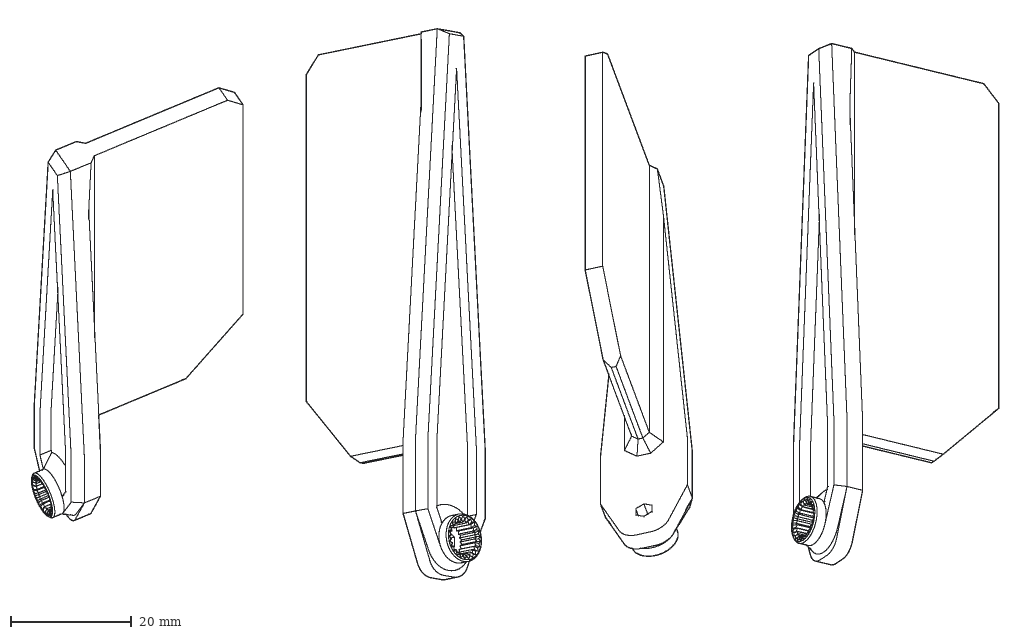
import cadquery as cq
import math

LENGTH = 92.0
PAD_HALF_WIDTH = 15.0 / 2
TIP_HALF_WIDTH = 2.6
KNEE_Z = 10.0
TAPER_Z = 22.1
BASE_THICKNESS = 3.0
FRONT_THICKNESS = 1.9
CHAMFER_INSET = 1.0
PAD_FRONT_Y = -(BASE_THICKNESS + FRONT_THICKNESS)
CHAMFER_ANGLE = 45

PIVOT_Z = 6.0
FOOT_HALF_WIDTH = 3.4
FOOT_FILLET = 3.3
BOSS_RADIUS = 8.0 / 2
BOSS_HEIGHT = 2.0
FACE_Y = PAD_FRONT_Y - BOSS_HEIGHT
HEX_SIDES = 6
CORNER_ANGLE = 90
HEX_DIAMETER = 3.2

POCKET_INSET = 3.0
POCKET_DEPTH = 2.1

SPLINE_TEETH = 25
SPLINE_ROOT_RADIUS = 3.1
SPLINE_TIP_RADIUS = 2.7
SOCKET_DEPTH = 4.05
MOUTH_DEPTH = 0.5
MOUTH_FLARE = 0.5
RIM_CHAMFER = 0.3

FIN_THICKNESS = 3.0
FIN_DEPTH = 30.0
FIN_BOTTOM_Z = TAPER_Z
FIN_EDGE_CHAMFER = 1.1
FIN_TOP_CORNER = 2.9
FIN_BOTTOM_CORNER = 11.9
FLARE_WIDTH = 1.8
FLARE_DEPTH = 2.0


def xz_plane(y):
    """Plane facing -Y at the given Y, with local x along X and local y along Z."""
    return cq.Workplane("XZ", origin=(0, y, 0))


def tangent_outline(y, inset):
    """Pad outline moved inwards by inset, its flanks tangent to a round end about the pivot."""
    end_radius = BOSS_RADIUS + CHAMFER_INSET - inset
    knee_rise = KNEE_Z - PIVOT_Z
    reach = math.hypot(PAD_HALF_WIDTH, knee_rise)
    elevation = math.atan2(knee_rise, PAD_HALF_WIDTH)
    flank = math.acos((BOSS_RADIUS + CHAMFER_INSET) / reach) - elevation
    taper = math.atan2(PAD_HALF_WIDTH - TIP_HALF_WIDTH, LENGTH - TAPER_Z)

    side = PAD_HALF_WIDTH - inset
    knee_z = KNEE_Z + inset * math.tan(flank / 2)
    taper_z = TAPER_Z - inset * math.tan(taper / 2)
    top_z = LENGTH - inset
    tip = side - (top_z - taper_z) * math.tan(taper)
    tangent = (end_radius * math.cos(flank), PIVOT_Z - end_radius * math.sin(flank))

    right = [tangent, (side, knee_z), (side, taper_z)]
    if tip > 0:
        right += [(tip, top_z), (-tip, top_z)]
    else:
        right += [(0, taper_z + side / math.tan(taper))]
    left = [(-side, taper_z), (-side, knee_z), (-tangent[0], tangent[1])]
    return (
        xz_plane(y)
        .polyline(right + left)
        .threePointArc((0, PIVOT_Z - end_radius), tangent)
        .close()
    )


def pad_prism(y, depth):
    """Full pad outline with a sharp-cornered foot, extruded towards -Y."""
    right = [
        (FOOT_HALF_WIDTH, 0),
        (PAD_HALF_WIDTH, KNEE_Z),
        (PAD_HALF_WIDTH, TAPER_Z),
        (TIP_HALF_WIDTH, LENGTH),
    ]
    left = [(-x, z) for x, z in reversed(right)]
    return xz_plane(y).polyline(right + left).close().extrude(depth)


def pad_base():
    base = pad_prism(0, BASE_THICKNESS)
    return base.faces("<Z").edges("|Y").fillet(FOOT_FILLET)


def pad_front():
    """Front layer with sloping edges all round."""
    slope = math.degrees(math.atan2(CHAMFER_INSET, FRONT_THICKNESS))
    return tangent_outline(-BASE_THICKNESS, 0).extrude(FRONT_THICKNESS, taper=slope)


def pocket():
    """Tapering pocket that stops at a 45 degree cone around the boss."""
    floor_y = PAD_FRONT_Y + POCKET_DEPTH
    cavity = tangent_outline(floor_y, POCKET_INSET).extrude(POCKET_DEPTH)
    cone = (
        xz_plane(floor_y)
        .center(0, PIVOT_Z)
        .circle(BOSS_RADIUS + POCKET_DEPTH)
        .extrude(POCKET_DEPTH, taper=CHAMFER_ANGLE)
    )
    return cavity.cut(cone)


def boss():
    return (
        xz_plane(PAD_FRONT_Y)
        .center(0, PIVOT_Z)
        .circle(BOSS_RADIUS)
        .extrude(BOSS_HEIGHT)
        .faces("<Y")
        .chamfer(RIM_CHAMFER)
    )


def spline_outline(growth):
    """V-toothed outline about the pivot, one tooth pointing straight down from the top."""
    points = []
    for i in range(2 * SPLINE_TEETH):
        radius = growth + (SPLINE_ROOT_RADIUS if i % 2 else SPLINE_TIP_RADIUS)
        angle = i * math.pi / SPLINE_TEETH
        points.append((radius * math.sin(angle), radius * math.cos(angle)))
    return points


def spline_socket():
    """Blind socket with straight teeth that flare out at the mouth."""
    mouth_y = FACE_Y + MOUTH_DEPTH
    floor_y = FACE_Y + SOCKET_DEPTH
    bore = (
        xz_plane(floor_y)
        .center(0, PIVOT_Z)
        .polyline(spline_outline(0))
        .close()
        .extrude(floor_y - mouth_y)
    )
    mouth = (
        xz_plane(mouth_y)
        .center(0, PIVOT_Z)
        .polyline(spline_outline(0))
        .close()
        .workplane(offset=MOUTH_DEPTH)
        .polyline(spline_outline(MOUTH_FLARE))
        .close()
        .loft(ruled=True)
    )
    return bore.union(mouth)


def fin_section(growth):
    """Fin cross-section with chamfered bottom edges; sides and bottom move out by growth."""
    corner_shift = growth * math.tan(math.radians(CHAMFER_ANGLE / 2))
    half = FIN_THICKNESS / 2
    keel = half - FIN_EDGE_CHAMFER + corner_shift
    shoulder_z = FIN_BOTTOM_Z + FIN_EDGE_CHAMFER - corner_shift
    right = [(keel, FIN_BOTTOM_Z - growth), (half + growth, shoulder_z), (half + growth, LENGTH)]
    left = [(-x, z) for x, z in reversed(right)]
    return right + left


def fin():
    """Fin with clipped rear corners."""
    profile = (
        cq.Workplane("YZ")
        .polyline(
            [
                (0, FIN_BOTTOM_Z),
                (FIN_DEPTH - FIN_BOTTOM_CORNER, FIN_BOTTOM_Z),
                (FIN_DEPTH, FIN_BOTTOM_Z + FIN_BOTTOM_CORNER),
                (FIN_DEPTH, LENGTH - FIN_TOP_CORNER),
                (FIN_DEPTH - FIN_TOP_CORNER, LENGTH),
                (0, LENGTH),
            ]
        )
        .close()
        .extrude(FIN_THICKNESS, both=True)
    )
    blade = xz_plane(FIN_DEPTH).polyline(fin_section(0)).close().extrude(FIN_DEPTH)
    return blade.intersect(profile)


def fin_flare():
    """Flare at the fin root, kept within the tapering sides of the pad."""
    flare = (
        xz_plane(FLARE_DEPTH)
        .polyline(fin_section(0))
        .close()
        .workplane(offset=FLARE_DEPTH)
        .polyline(fin_section(FLARE_WIDTH))
        .close()
        .loft(ruled=True)
    )
    return flare.intersect(pad_prism(FLARE_DEPTH, FLARE_DEPTH))


def hex_hole():
    """Hexagonal through hole with corners pointing up and down."""
    return (
        xz_plane(0)
        .center(0, PIVOT_Z)
        .transformed(rotate=(0, 0, CORNER_ANGLE))
        .polygon(HEX_SIDES, HEX_DIAMETER)
        .extrude(-FACE_Y)
    )


result = pad_base().union(pad_front()).cut(pocket()).union(boss())
result = result.union(fin()).union(fin_flare()).cut(spline_socket()).cut(hex_hole())